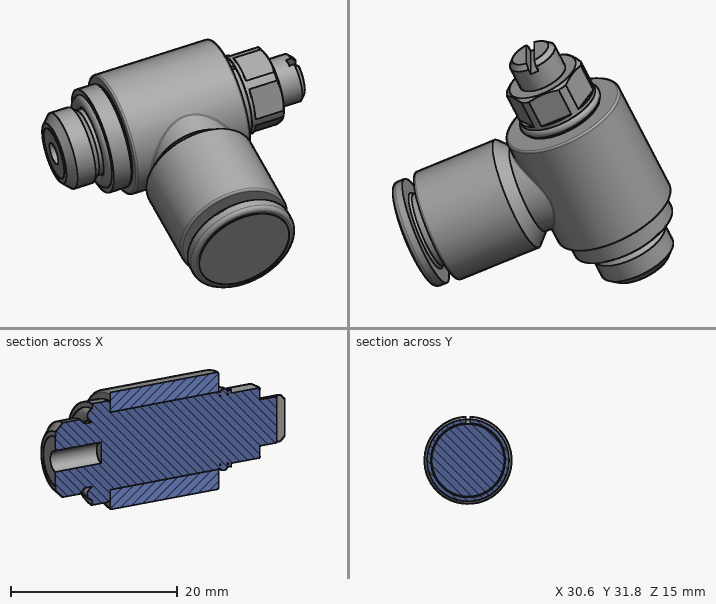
import cadquery as cq
import math


barrel_dia = 15.0
barrel_length = 14.95
bore_dia = 9.85
barrel_round = 0.25
socket_round = 0.3

neck_dia = 11.0
socket_dia = 14.0
socket_start_x = 7.97
socket_end_x = 20.0
junction_round = 0.15

collar_stem_dia = 9.3
collar_root_dia = 9.85
collar_root_length = 0.32
collar_flange_dia = 13.5
collar_flange_start_x = 21.52
collar_flange_end_x = 22.98
collar_flange_round = 0.55
collar_face_dia = 11.75
collar_face_height = 0.11

hex_across_flats = 9.0
hex_top_y = 13.15
hex_bottom_y = 9.2
hex_tip_dia = 8.75
hex_chamfer_angle = 30.0

ring_groove_top_y = 8.73
ring_groove_dia = 8.75
ring_section_dia = 1.1
ring_centre_radius = 4.7
ring_split_width = 0.5

screw_dia = 6.0
screw_top_y = 16.7
screw_chamfer = 0.6
slot_width = 1.0
slot_depth = 1.25

shoulder_dia = 13.0
shoulder_top_y = -7.68
shoulder_bottom_y = -9.97
shoulder_relief_dia = 12.7

undercut_dia = 8.3
undercut_bottom_y = -10.9
thread_dia = 9.6
thread_top_y = -11.62
thread_bottom_y = -13.95
tip_chamfer = 1.0
insert_dia = 6.35
bolt_length = 31.75
insert_bottom_y = screw_top_y - bolt_length

seal_section_dia = 1.75
seal_bottom_y = -10.6

port_dia = 2.7
port_depth = 6.35


def turned_on_y(profile):
    """Revolve a closed list of (radius, y) points about the Y axis."""
    return cq.Workplane("XY").polyline(profile).close().revolve(360, (0, 0), (0, 1))


def turned_on_x(profile):
    """Revolve a closed list of (x, radius) points about the X axis."""
    return cq.Workplane("XY").polyline(profile).close().revolve(360, (0, 0), (1, 0))


def cylinder_on_y(diameter, bottom_y, top_y):
    start = cq.Workplane("XZ", origin=(0, bottom_y, 0))
    return start.circle(diameter / 2).extrude(bottom_y - top_y)


def ring_on_y(centre_radius, section_dia, centre_y):
    sketch = cq.Workplane("XY", origin=(centre_radius, centre_y, 0)).transformed(rotate=(0, 0, 180))
    section = sketch.circle(section_dia / 2)
    return section.revolve(360, (centre_radius, 0), (centre_radius, 1))


def make_socket():
    """Tube socket: 45-degree cone and cylinder with a rounded mouth."""
    cone_length = (socket_dia - neck_dia) / 2
    socket = turned_on_x([
        (socket_start_x, 0),
        (socket_start_x, neck_dia / 2),
        (socket_start_x + cone_length, socket_dia / 2),
        (socket_end_x, socket_dia / 2),
        (socket_end_x, 0),
    ])
    return socket.faces(">X").edges().fillet(socket_round)


def make_release_collar():
    """Stem, root cone, flange with a rounded rim and a slightly raised face."""
    stem = turned_on_x([
        (socket_end_x, 0),
        (socket_end_x, collar_stem_dia / 2),
        (collar_flange_start_x - collar_root_length, collar_stem_dia / 2),
        (collar_flange_start_x, collar_root_dia / 2),
        (collar_flange_start_x, 0),
    ])
    flange = (
        cq.Workplane("YZ", origin=(collar_flange_start_x, 0, 0))
        .circle(collar_flange_dia / 2)
        .extrude(collar_flange_end_x - collar_flange_start_x)
        .faces(">X").edges().fillet(collar_flange_round)
        .faces(">X").workplane()
        .circle(collar_face_dia / 2).extrude(collar_face_height)
    )
    return stem.union(flange)


def make_housing():
    """Barrel with a straight bore, blended into the neck, socket and collar."""
    barrel = cylinder_on_y(barrel_dia, -barrel_length / 2, barrel_length / 2)
    barrel = barrel.faces("<Y or >Y").edges().fillet(barrel_round)
    neck = cq.Workplane("YZ").circle(neck_dia / 2).extrude(socket_start_x)
    junction_reach = (barrel_dia + neck_dia) / 4
    junction_zone = cq.selectors.BoxSelector(
        (0, -junction_reach, -junction_reach),
        (socket_start_x - junction_round, junction_reach, junction_reach),
    )
    housing = barrel.union(neck).edges(junction_zone).fillet(junction_round)
    housing = housing.union(make_socket()).union(make_release_collar())
    return housing.cut(cylinder_on_y(bore_dia, -barrel_length / 2, barrel_length / 2))


def make_hex_head():
    """Round head with six flats; the round corners remain between them."""
    chamfer_drop = (bore_dia - hex_tip_dia) / 2 * math.tan(math.radians(hex_chamfer_angle))
    head = turned_on_y([
        (0, ring_groove_top_y),
        (bore_dia / 2, ring_groove_top_y),
        (bore_dia / 2, hex_top_y - chamfer_drop),
        (hex_tip_dia / 2, hex_top_y),
        (0, hex_top_y),
    ])
    across_corners = hex_across_flats / math.cos(math.radians(30))
    hexagon = (
        cq.Workplane("XZ", origin=(0, hex_bottom_y, 0))
        .polygon(6, across_corners)
        .extrude(hex_bottom_y - hex_top_y)
    )
    waste = cylinder_on_y(2 * bore_dia, hex_bottom_y, hex_top_y).cut(hexagon)
    return head.cut(waste)


def make_split_ring():
    """Retaining ring in its groove above the barrel, split on the +Z side."""
    groove = cylinder_on_y(ring_groove_dia, ring_groove_top_y - ring_section_dia, ring_groove_top_y)
    centre_y = ring_groove_top_y - ring_section_dia / 2
    split = cq.Workplane("XY").box(
        ring_split_width, ring_section_dia, bore_dia, centered=(True, True, False)
    ).translate((0, centre_y, 0))
    ring = ring_on_y(ring_centre_radius, ring_section_dia, centre_y).cut(split)
    return groove.union(ring)


def make_screw():
    """Slotted adjusting screw above the hex head."""
    screw = cylinder_on_y(screw_dia, hex_top_y, screw_top_y)
    screw = screw.faces(">Y").chamfer(screw_chamfer)
    slot = cq.Workplane("XY").box(slot_width, 2 * slot_depth, 2 * screw_dia)
    return screw.cut(slot.translate((0, screw_top_y, 0)))


def make_lower_end():
    """Shank, shoulder, undercut, threaded end and its insert, which stands slightly proud."""
    tip_y = thread_bottom_y - tip_chamfer
    return turned_on_y([
        (0, ring_groove_top_y - ring_section_dia),
        (bore_dia / 2, ring_groove_top_y - ring_section_dia),
        (bore_dia / 2, -barrel_length / 2),
        (shoulder_relief_dia / 2, -barrel_length / 2),
        (shoulder_relief_dia / 2, shoulder_top_y),
        (shoulder_dia / 2, shoulder_top_y),
        (shoulder_dia / 2, shoulder_bottom_y),
        (undercut_dia / 2, shoulder_bottom_y),
        (undercut_dia / 2, undercut_bottom_y),
        (thread_dia / 2, thread_top_y),
        (thread_dia / 2, thread_bottom_y),
        (thread_dia / 2 - tip_chamfer, tip_y),
        (insert_dia / 2, tip_y),
        (insert_dia / 2, insert_bottom_y),
        (0, insert_bottom_y),
    ])


def make_bolt():
    seal = ring_on_y(
        (undercut_dia + seal_section_dia) / 2,
        seal_section_dia,
        seal_bottom_y + seal_section_dia / 2,
    )
    bolt = make_lower_end().union(seal)
    bolt = bolt.union(make_split_ring()).union(make_hex_head()).union(make_screw())
    return bolt.cut(cylinder_on_y(port_dia, insert_bottom_y, insert_bottom_y + port_depth))


housing = make_housing()
bolt = make_bolt()

result = cq.Compound.makeCompound([housing.val(), bolt.val()])